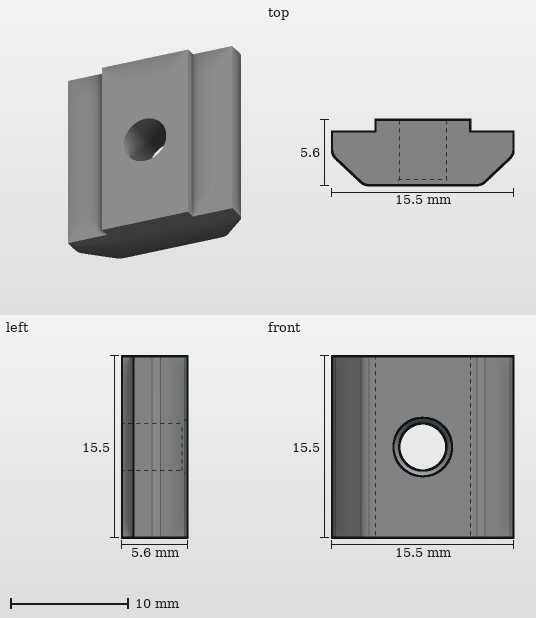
import cadquery as cq

width = 15.5
length = 15.5
thickness = 5.6

rib_width = 8.1
rib_height = 1.0

front_width = 10.0
flank_depth = 2.6
edge_radius = 1.0

hole_diameter = 4.0
mouth_diameter = 5.0
mouth_depth = (mouth_diameter - hole_diameter) / 2

front_y = -thickness / 2
back_y = thickness / 2
shoulder_y = back_y - rib_height
flank_y = front_y + flank_depth


def make_body():
    """Extrude the T-nut profile, symmetric about X and centred on Z."""
    right_half = [
        (front_width / 2, front_y),
        (width / 2, flank_y),
        (width / 2, shoulder_y),
        (rib_width / 2, shoulder_y),
        (rib_width / 2, back_y),
    ]
    left_half = [(-x, y) for x, y in reversed(right_half)]
    profile = cq.Workplane("XY").polyline(right_half + left_half).close()
    return profile.extrude(length / 2, both=True)


def round_flank_edges(body):
    """Round the long edges at both ends of each sloped flank."""
    middle_y = (flank_y + shoulder_y) / 2
    flank_zone = cq.selectors.BoxSelector(
        (-width, front_y - edge_radius, -length),
        (width, middle_y, length),
    )
    return body.edges("|Z").edges(flank_zone).fillet(edge_radius)


def make_hole():
    """Solid of revolution about Y: straight bore plus conical mouth."""
    bore_radius = hole_diameter / 2
    outline = [
        (0, front_y),
        (mouth_diameter / 2, front_y),
        (bore_radius, front_y + mouth_depth),
        (bore_radius, back_y),
        (0, back_y),
    ]
    profile = cq.Workplane("XY").polyline(outline).close()
    return profile.revolve(360, (0, 0, 0), (0, 1, 0))


result = round_flank_edges(make_body()).cut(make_hole())